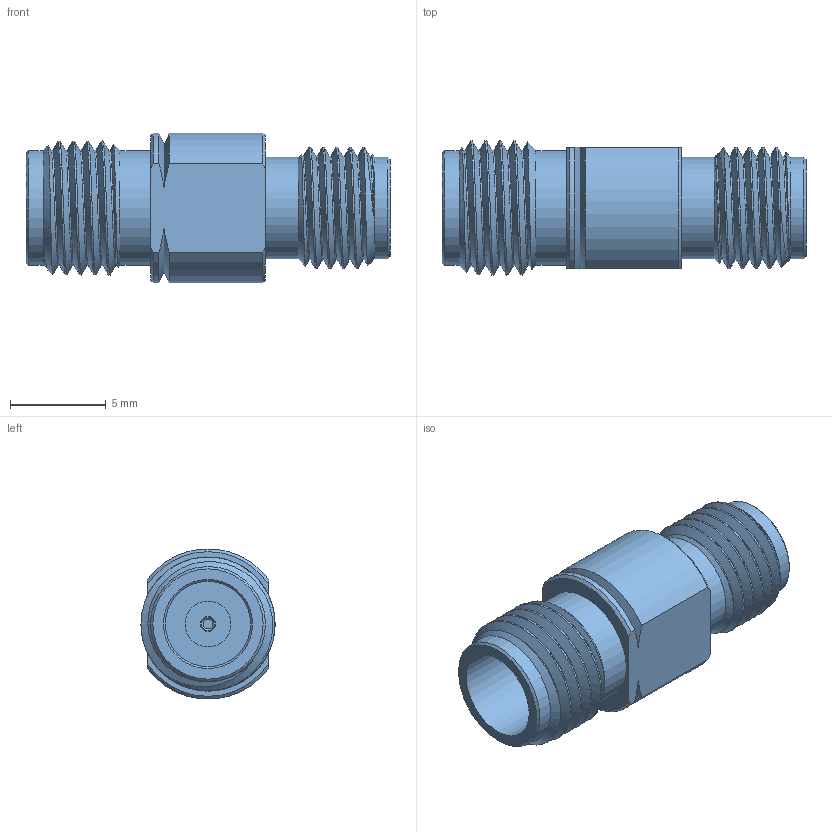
import cadquery as cq
import math

length = 19.0

body_start = 6.5
body_end = 12.5
body_radius = 3.927
body_chamfer = 0.15
across_flats = 6.35

groove_start = 6.94
groove_width = 0.53
groove_depth = 0.58

left_barrel_radius = 3.0
left_thread_radius = 3.5
left_pitch = 0.75
left_thread_start = 0.9
left_crest_at_top = 1.72

right_barrel_radius = 2.65
right_thread_radius = 3.175
right_pitch = 25.4 / 36
right_thread_start = 14.2
right_crest_at_top = 14.81

thread_length = 4.0
barrel_chamfer = 0.12
thread_half_angle = math.radians(30)
flat_share = 1 / 8
cutter_margin = 0.05
overrun_turns = 0.7

bore_radius = 2.325
bore_depth = 4.0
bore_floor_chamfer = 0.1
recess_radius = 1.2
recess_depth = 1.0
contact_radius = 0.4
contact_hole_radius = 0.26
contact_countersink = 0.08


def revolve_about_x(points):
    """Turn an (x, radius) outline, closed along the axis, into a solid of revolution."""
    return cq.Workplane("XY").polyline(points).close().revolve(360, (0, 0, 0), (1, 0, 0))


def cylinder_along_x(start, depth, radius):
    return cq.Workplane("YZ", origin=(start, 0, 0)).circle(radius).extrude(depth)


def barrel(start, end, radius):
    return cylinder_along_x(start, end - start, radius)


def thread_blank(start, barrel_radius, thread_radius):
    """Unthreaded band whose 45 degree ends run down to the barrel."""
    end = start + thread_length
    rise = thread_radius - barrel_radius
    return revolve_about_x([
        (start, 0),
        (start, barrel_radius),
        (start + rise, thread_radius),
        (end - rise, thread_radius),
        (end, barrel_radius),
        (end, 0),
    ])


def thread_cutter(start, thread_radius, pitch, crest_at_top):
    """Right-hand helical 60 degree groove that overruns the threaded band at both ends."""
    flat = flat_share * pitch
    depth = (pitch - 2 * flat) / (2 * math.tan(thread_half_angle))
    root_radius = thread_radius - depth
    outer_radius = thread_radius + cutter_margin
    root_half_width = flat / 2
    outer_half_width = root_half_width + (outer_radius - root_radius) * math.tan(thread_half_angle)

    helix_start = start - overrun_turns * pitch
    helix_length = thread_length + 2 * overrun_turns * pitch
    helix = cq.Wire.makeHelix(pitch, helix_length, root_radius)
    cutter = (
        cq.Workplane("XZ")
        .polyline([
            (root_radius, -root_half_width),
            (outer_radius, -outer_half_width),
            (outer_radius, outer_half_width),
            (root_radius, root_half_width),
        ])
        .close()
        .sweep(cq.Workplane(obj=helix), isFrenet=True)
    )
    groove_at_top = crest_at_top + pitch / 2
    turn_angle = 360 * (helix_start - groove_at_top) / pitch
    cutter = cutter.rotate((0, 0, 0), (0, 1, 0), 90)
    cutter = cutter.rotate((0, 0, 0), (1, 0, 0), 180 + turn_angle)
    return cutter.translate((helix_start, 0, 0))


def threaded_band(start, barrel_radius, thread_radius, pitch, crest_at_top):
    """Threaded rod, longer than its groove, trimmed to the chamfered band."""
    rod_margin = (overrun_turns + 2) * pitch
    rod = cylinder_along_x(start - rod_margin, thread_length + 2 * rod_margin, thread_radius)
    rod = rod.cut(thread_cutter(start, thread_radius, pitch, crest_at_top))
    return rod.intersect(thread_blank(start, barrel_radius, thread_radius))


def wrench_body():
    body = cylinder_along_x(body_start, body_end - body_start, body_radius).edges().chamfer(body_chamfer)
    groove_middle = groove_start + groove_width / 2
    groove = revolve_about_x([
        (groove_start, body_radius),
        (groove_middle, body_radius - groove_depth),
        (groove_start + groove_width, body_radius),
    ])
    flats = cq.Workplane("XY").box(2 * length, across_flats, 2 * body_radius)
    return body.cut(groove).intersect(flats)


def left_interface():
    """Bore with a chamfered floor, then an annular recess around a countersunk socket contact."""
    bore = cylinder_along_x(0, bore_depth, bore_radius).faces(">X").edges().chamfer(bore_floor_chamfer)
    recess = cylinder_along_x(bore_depth, recess_depth, recess_radius)
    contact = cylinder_along_x(bore_depth, recess_depth, contact_radius)
    contact_hole = revolve_about_x([
        (bore_depth, 0),
        (bore_depth, contact_hole_radius + contact_countersink),
        (bore_depth + contact_countersink, contact_hole_radius),
        (bore_depth + recess_depth, contact_hole_radius),
        (bore_depth + recess_depth, 0),
    ])
    return bore.union(recess.cut(contact)).union(contact_hole)


left_barrel = barrel(0, body_start, left_barrel_radius).faces("<X").chamfer(barrel_chamfer)
left_band = threaded_band(
    left_thread_start, left_barrel_radius, left_thread_radius, left_pitch, left_crest_at_top
)
right_barrel = barrel(body_end, length, right_barrel_radius).faces(">X").chamfer(barrel_chamfer)
right_band = threaded_band(
    right_thread_start, right_barrel_radius, right_thread_radius, right_pitch, right_crest_at_top
)

result = wrench_body()
for section in (left_barrel, left_band, right_barrel, right_band):
    result = result.union(section)
result = result.cut(left_interface())